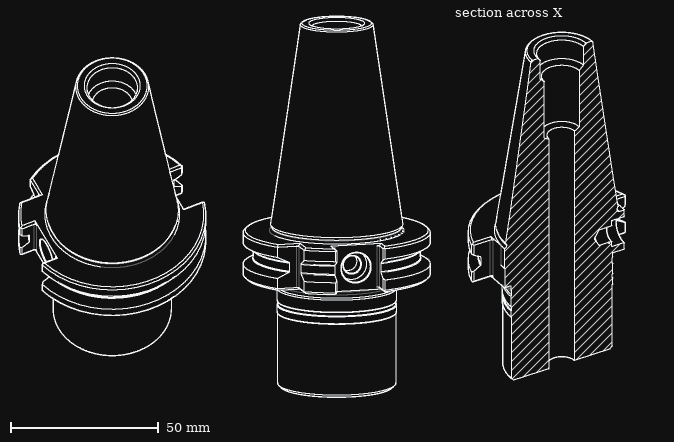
import cadquery as cq
import math

TOTAL_LENGTH = 125.2
FLANGE_BOTTOM = 38.0
FLANGE_HEIGHT = 15.8
FLANGE_TOP = FLANGE_BOTTOM + FLANGE_HEIGHT
FLANGE_MIDDLE = FLANGE_BOTTOM + FLANGE_HEIGHT / 2

TAPER_RATIO = 7 / 24
GAUGE_DIAMETER = 44.5
GAUGE_HEIGHT = 56.9
TAPER_BOTTOM = 55.9
SMALL_END_DIAMETER = 23.5
SMALL_END_CHAMFER = 0.5
UNDERCUT_RADIUS = 21.9
UNDERCUT_TOP = 54.9
UNDERCUT_FILLET = 0.9

FLANGE_RADIUS = 63.4 / 2
FLANGE_CHAMFER = 0.8
GROOVE_FLOOR_RADIUS = 28.3
GROOVE_FLOOR_HALF_WIDTH = 1.6
GROOVE_MOUTH_HALF_WIDTH = 3.6
GROOVE_FLOOR_FILLET = 0.4
SLOT_WIDTH = 16.2
BACK_SLOT_FLOOR = 22.7
FRONT_SLOT_FLOOR = 24.8
NOTCH_WALL = 18.4
CORNER_RADIUS = 0.8

NOSE_RADIUS = 40.1 / 2
NOSE_CHAMFER = 1.0
BAND_RADIUS = 40.5 / 2
RELIEF_RADIUS = 40.0 / 2
BAND_CHAMFER = 0.3
LOWER_BAND_BOTTOM = 25.4
LOWER_BAND_TOP = 28.3
UPPER_BAND_BOTTOM = 29.4
UPPER_BAND_TOP = 33.8
RELIEF_BOTTOM = 34.5
RELIEF_TOP = 35.6
COLLAR_BOTTOM = 36.6

THROUGH_RADIUS = 10.0 / 2
THREAD_RADIUS = 13.8 / 2
THREAD_DEPTH = 32.6
COUNTERBORE_RADIUS = 17.0 / 2
COUNTERBORE_DEPTH = 8.5
MOUTH_RADIUS = 18.9 / 2
MOUTH_DEPTH = 1.1
DRILL_HALF_ANGLE = math.radians(59)

SCREW_HEAD_RADIUS = 10.1 / 2
SCREW_HEAD_DEPTH = 5.0
SCREW_HOLE_RADIUS = 6.0 / 2
SCREW_HOLE_DEPTH = 10.0
SCREW_HOLE_CHAMFER = 0.3


def revolve_profile(points):
    """Turn a closed (radius, height) outline about the Z axis."""
    return cq.Workplane("XZ").polyline(points).close().revolve(360, (0, 0, 0), (0, 1, 0))


def make_taper():
    def taper_radius(height):
        return (GAUGE_DIAMETER - (height - GAUGE_HEIGHT) * TAPER_RATIO) / 2

    chamfer_start = TOTAL_LENGTH - SMALL_END_CHAMFER
    fillet_reach = UNDERCUT_FILLET * math.sqrt(0.5)
    fillet_middle = (
        UNDERCUT_RADIUS + UNDERCUT_FILLET - fillet_reach,
        FLANGE_TOP + UNDERCUT_FILLET - fillet_reach,
    )
    return (
        cq.Workplane("XZ")
        .moveTo(0, FLANGE_MIDDLE)
        .lineTo(UNDERCUT_RADIUS + UNDERCUT_FILLET, FLANGE_MIDDLE)
        .lineTo(UNDERCUT_RADIUS + UNDERCUT_FILLET, FLANGE_TOP)
        .threePointArc(fillet_middle, (UNDERCUT_RADIUS, FLANGE_TOP + UNDERCUT_FILLET))
        .lineTo(UNDERCUT_RADIUS, UNDERCUT_TOP)
        .lineTo(taper_radius(TAPER_BOTTOM), TAPER_BOTTOM)
        .lineTo(taper_radius(chamfer_start), chamfer_start)
        .lineTo(SMALL_END_DIAMETER / 2, TOTAL_LENGTH)
        .lineTo(0, TOTAL_LENGTH)
        .close()
        .revolve(360, (0, 0, 0), (0, 1, 0))
    )


def make_nose():
    return revolve_profile([
        (0, 0),
        (NOSE_RADIUS - NOSE_CHAMFER, 0),
        (NOSE_RADIUS, NOSE_CHAMFER),
        (NOSE_RADIUS, LOWER_BAND_BOTTOM),
        (BAND_RADIUS, LOWER_BAND_BOTTOM + BAND_CHAMFER),
        (BAND_RADIUS, LOWER_BAND_TOP - BAND_CHAMFER),
        (RELIEF_RADIUS, LOWER_BAND_TOP),
        (RELIEF_RADIUS, UPPER_BAND_BOTTOM),
        (BAND_RADIUS, UPPER_BAND_BOTTOM + BAND_CHAMFER),
        (BAND_RADIUS, UPPER_BAND_TOP),
        (RELIEF_RADIUS, RELIEF_BOTTOM),
        (RELIEF_RADIUS, RELIEF_TOP),
        (BAND_RADIUS, COLLAR_BOTTOM),
        (BAND_RADIUS, FLANGE_MIDDLE),
        (0, FLANGE_MIDDLE),
    ])


def make_flange_blank():
    """Round flange with chamfered rims and a V-groove whose floor corners are rounded."""
    rim_inset = FLANGE_RADIUS - FLANGE_CHAMFER
    blank = revolve_profile([
        (0, FLANGE_BOTTOM),
        (rim_inset, FLANGE_BOTTOM),
        (FLANGE_RADIUS, FLANGE_BOTTOM + FLANGE_CHAMFER),
        (FLANGE_RADIUS, FLANGE_TOP - FLANGE_CHAMFER),
        (rim_inset, FLANGE_TOP),
        (0, FLANGE_TOP),
    ])
    groove = revolve_profile([
        (GROOVE_FLOOR_RADIUS, FLANGE_MIDDLE - GROOVE_FLOOR_HALF_WIDTH),
        (FLANGE_RADIUS, FLANGE_MIDDLE - GROOVE_MOUTH_HALF_WIDTH),
        (FLANGE_RADIUS, FLANGE_MIDDLE + GROOVE_MOUTH_HALF_WIDTH),
        (GROOVE_FLOOR_RADIUS, FLANGE_MIDDLE + GROOVE_FLOOR_HALF_WIDTH),
    ])
    zone_half_height = (GROOVE_FLOOR_HALF_WIDTH + GROOVE_MOUTH_HALF_WIDTH) / 2
    floor_zone = cq.selectors.BoxSelector(
        (-FLANGE_RADIUS, -FLANGE_RADIUS, FLANGE_MIDDLE - zone_half_height),
        (FLANGE_RADIUS, FLANGE_RADIUS, FLANGE_MIDDLE + zone_half_height),
        boundingbox=True,
    )
    groove = groove.edges("%CIRCLE").edges(floor_zone).fillet(GROOVE_FLOOR_FILLET)
    return blank.cut(groove)


def make_slot_cutter(floor):
    """Driving slot on the +Y side, with rounded floor corners and chamfered walls."""
    half_width = SLOT_WIDTH / 2
    rim_corner = math.sqrt(FLANGE_RADIUS**2 - half_width**2)
    flare_start = rim_corner - FLANGE_CHAMFER
    flare = FLANGE_RADIUS - flare_start
    slot = (
        cq.Workplane("XY", origin=(0, 0, FLANGE_BOTTOM))
        .polyline([
            (-half_width, floor),
            (half_width, floor),
            (half_width, flare_start),
            (half_width + flare, FLANGE_RADIUS),
            (-half_width - flare, FLANGE_RADIUS),
            (-half_width, flare_start),
        ])
        .close()
        .extrude(FLANGE_HEIGHT)
        .edges("|Z and <Y")
        .fillet(CORNER_RADIUS)
    )
    for face_height, inward in ((FLANGE_TOP, -1), (FLANGE_BOTTOM, 1)):
        wall_chamfer = (
            cq.Workplane("XZ", origin=(0, floor, face_height))
            .polyline([
                (-half_width, inward * FLANGE_CHAMFER),
                (half_width, inward * FLANGE_CHAMFER),
                (half_width + FLANGE_CHAMFER, 0),
                (-half_width - FLANGE_CHAMFER, 0),
            ])
            .close()
            .extrude(floor - FLANGE_RADIUS)
        )
        slot = slot.union(wall_chamfer)
    return slot


def make_notch_cutter():
    """Square notch in the (-X, -Y) quadrant, chamfered along both flange faces."""
    size = FLANGE_RADIUS - NOTCH_WALL
    centre = -NOTCH_WALL - size / 2
    notch = (
        cq.Workplane("XY", origin=(centre, centre, FLANGE_BOTTOM))
        .rect(size, size)
        .extrude(FLANGE_HEIGHT)
        .edges("|Z and >X and >Y")
        .fillet(CORNER_RADIUS)
    )
    wide_size = size + 2 * FLANGE_CHAMFER
    for face_height, inward in ((FLANGE_TOP, -1), (FLANGE_BOTTOM, 1)):
        wall_chamfer = (
            cq.Workplane("XY", origin=(centre, centre, face_height))
            .rect(wide_size, wide_size)
            .extrude(inward * FLANGE_CHAMFER, taper=45)
        )
        notch = notch.union(wall_chamfer)
    return notch


def make_flange():
    front_slot = make_slot_cutter(FRONT_SLOT_FLOOR).rotate((0, 0, 0), (0, 0, 1), 180)
    return (
        make_flange_blank()
        .cut(make_slot_cutter(BACK_SLOT_FLOOR))
        .cut(front_slot)
        .cut(make_notch_cutter())
    )


def make_bore():
    mouth_end = TOTAL_LENGTH - MOUTH_DEPTH
    counterbore_end = TOTAL_LENGTH - COUNTERBORE_DEPTH
    counterbore_cone = COUNTERBORE_RADIUS - THREAD_RADIUS
    thread_end = TOTAL_LENGTH - THREAD_DEPTH
    drill_cone = (THREAD_RADIUS - THROUGH_RADIUS) / math.tan(DRILL_HALF_ANGLE)
    return revolve_profile([
        (0, 0),
        (THROUGH_RADIUS, 0),
        (THROUGH_RADIUS, thread_end - drill_cone),
        (THREAD_RADIUS, thread_end),
        (THREAD_RADIUS, counterbore_end - counterbore_cone),
        (COUNTERBORE_RADIUS, counterbore_end),
        (COUNTERBORE_RADIUS, mouth_end),
        (MOUTH_RADIUS, TOTAL_LENGTH),
        (0, TOTAL_LENGTH),
    ])


def make_screw_hole():
    """Stepped blind hole with a drill point, running inwards from the -Y slot floor."""
    drill_point = SCREW_HOLE_RADIUS / math.tan(DRILL_HALF_ANGLE)
    hole_along_z = revolve_profile([
        (0, 0),
        (SCREW_HEAD_RADIUS + SCREW_HOLE_CHAMFER, 0),
        (SCREW_HEAD_RADIUS, SCREW_HOLE_CHAMFER),
        (SCREW_HEAD_RADIUS, SCREW_HEAD_DEPTH),
        (SCREW_HOLE_RADIUS + SCREW_HOLE_CHAMFER, SCREW_HEAD_DEPTH),
        (SCREW_HOLE_RADIUS, SCREW_HEAD_DEPTH + SCREW_HOLE_CHAMFER),
        (SCREW_HOLE_RADIUS, SCREW_HOLE_DEPTH),
        (0, SCREW_HOLE_DEPTH + drill_point),
    ])
    hole_along_y = hole_along_z.rotate((0, 0, 0), (1, 0, 0), -90)
    return hole_along_y.translate((0, -FRONT_SLOT_FLOOR, FLANGE_MIDDLE))


result = (
    make_taper()
    .union(make_nose())
    .union(make_flange())
    .cut(make_bore())
    .cut(make_screw_hole())
)